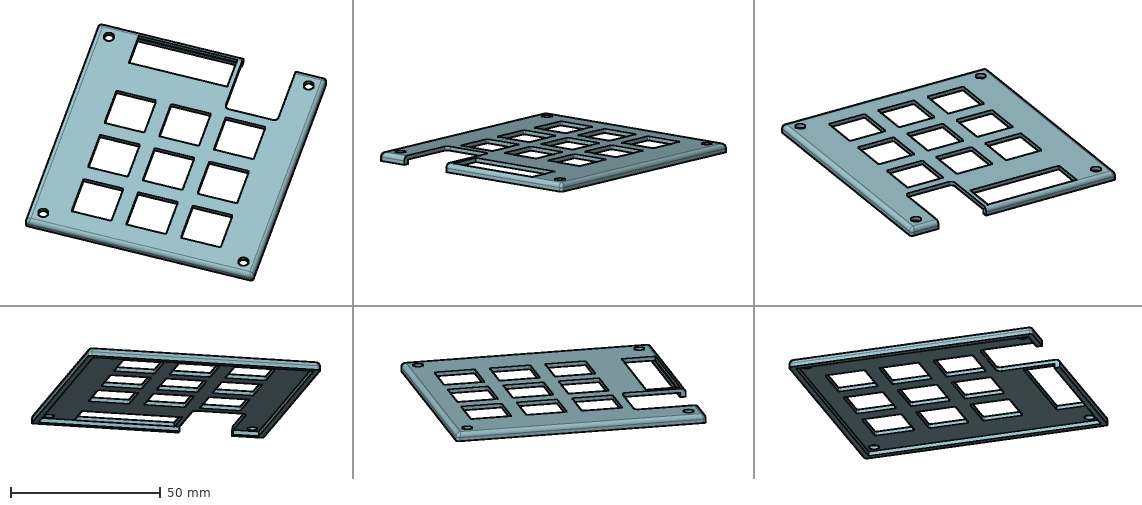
import cadquery as cq

WIDTH = 79.6
LENGTH = 86.0
HEIGHT = 3.0
TOP_FILLET = 1.55
CORNER_FILLET = 1.0

PLATE_THICKNESS = 1.5
RIM_WIDTH = 2.0
RECESS_DEPTH = HEIGHT - PLATE_THICKNESS

KEY_COUNT = 3
KEY_SIZE = 13.9
KEY_PITCH = 19.1
KEY_GRID_Y = -8.7
KEY_CORNER_RADIUS = 0.4

WINDOW_LEFT = -25.45
WINDOW_WIDTH = 34.4
WINDOW_BOTTOM = 29.7
WINDOW_EDGE_GAP = 1.7
WINDOW_TOP = LENGTH / 2 - WINDOW_EDGE_GAP

NOTCH_LEFT = 10.7
NOTCH_WIDTH = 18.4
NOTCH_DEPTH = 22.1
NOTCH_CORNER_RADIUS = 1.5

HOLE_DIAMETER = 3.4
HOLE_CENTERS = [(-34.9, 38.0), (34.9, 38.0), (-34.9, -38.2), (35.1, -38.2)]


def make_block(left, bottom, width, length, base_z, height):
    """Box located by its lower-left corner and its base height."""
    block = cq.Workplane("XY").box(width, length, height, centered=False)
    return block.translate((left, bottom, base_z))


def make_body():
    """Rounded slab with a shallow recess in its underside."""
    body = cq.Workplane("XY").box(WIDTH, LENGTH, HEIGHT, centered=(True, True, False))
    body = body.edges("|Z").fillet(CORNER_FILLET)
    body = body.faces(">Z").edges().fillet(TOP_FILLET)
    recess = cq.Workplane("XY").box(
        WIDTH - 2 * RIM_WIDTH,
        LENGTH - 2 * RIM_WIDTH,
        RECESS_DEPTH,
        centered=(True, True, False),
    )
    return body.cut(recess)


def make_key_openings():
    """Grid of square prisms with slightly rounded corners."""
    return (
        cq.Workplane("XY")
        .center(0, KEY_GRID_Y)
        .rarray(KEY_PITCH, KEY_PITCH, KEY_COUNT, KEY_COUNT)
        .rect(KEY_SIZE, KEY_SIZE)
        .extrude(HEIGHT)
        .edges("|Z")
        .fillet(KEY_CORNER_RADIUS)
    )


def make_window():
    """Window through the plate only, leaving a small step on the +Y rim."""
    window_length = WINDOW_TOP - WINDOW_BOTTOM
    return make_block(
        WINDOW_LEFT, WINDOW_BOTTOM, WINDOW_WIDTH, window_length, RECESS_DEPTH, PLATE_THICKNESS
    )


def make_notch():
    """Full-height notch with its two inner corners rounded."""
    notch_bottom = LENGTH / 2 - NOTCH_DEPTH
    notch = make_block(NOTCH_LEFT, notch_bottom, NOTCH_WIDTH, NOTCH_DEPTH, 0, HEIGHT)
    return notch.edges("|Z and <Y").fillet(NOTCH_CORNER_RADIUS)


def make_screw_holes():
    """Four round through holes."""
    return (
        cq.Workplane("XY")
        .pushPoints(HOLE_CENTERS)
        .circle(HOLE_DIAMETER / 2)
        .extrude(HEIGHT)
    )


result = make_body()
for cutter in (make_key_openings(), make_window(), make_notch(), make_screw_holes()):
    result = result.cut(cutter)